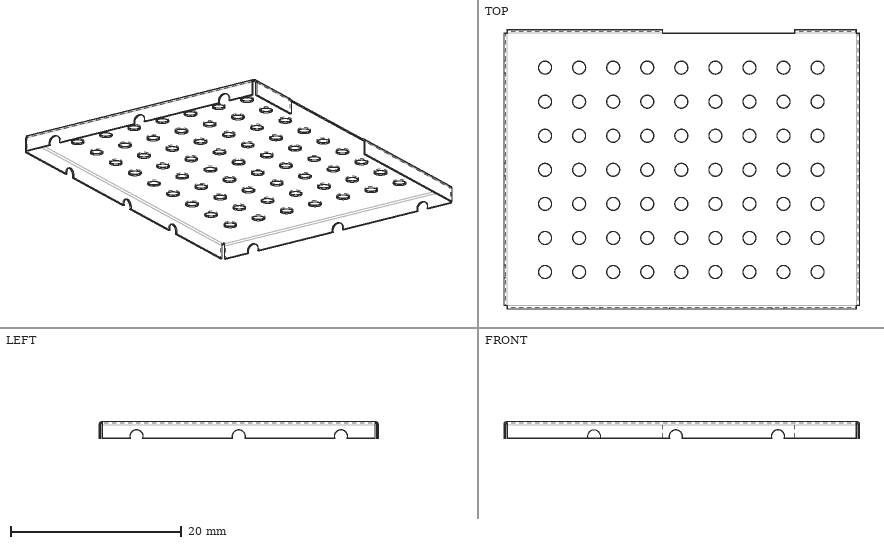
import cadquery as cq

PANEL_X = 41.0
PANEL_Y = 32.0
HEIGHT = 2.0
SHEET = 0.2
BEND_INNER = 0.2
BEND_OUTER = BEND_INNER + SHEET

HOLE_DIAMETER = 1.5
HOLE_PITCH = 4.0
HOLES_X = 9
HOLES_Y = 7
GRID_CENTER_X = -0.05
GRID_CENTER_Y = -0.05

NOTCH_DIAMETER = 1.5
NOTCH_CENTER_Z = 0.25
SIDE_NOTCHES_Y = (-12.0, 0.0, 12.0)
FRONT_NOTCHES_X = (-10.3, -0.7, 11.3)

REAR_GAP_START = -2.25
REAR_GAP_END = 13.25


def make_panel():
    """Flat top panel with its grid of round holes."""
    panel = cq.Workplane("XY").box(PANEL_X, PANEL_Y, SHEET, centered=(True, True, False))
    panel = panel.translate((0, 0, HEIGHT - SHEET))
    holes = (
        cq.Workplane("XY")
        .center(GRID_CENTER_X, GRID_CENTER_Y)
        .rarray(HOLE_PITCH, HOLE_PITCH, HOLES_X, HOLES_Y)
        .circle(HOLE_DIAMETER / 2)
        .extrude(HEIGHT)
    )
    return panel.cut(holes)


def make_wall(edge_distance, start, end, notches=()):
    """Bent wall on the +X edge, running along Y from start to end."""
    bend_z = HEIGHT - BEND_OUTER
    wall = (
        cq.Workplane("XZ", origin=(edge_distance, start, 0))
        .moveTo(0, HEIGHT)
        .radiusArc((BEND_OUTER, bend_z), BEND_OUTER)
        .lineTo(BEND_OUTER, 0)
        .lineTo(BEND_INNER, 0)
        .lineTo(BEND_INNER, bend_z)
        .radiusArc((0, HEIGHT - SHEET), -BEND_INNER)
        .close()
        .extrude(start - end)
    )
    for position in notches:
        notch = (
            cq.Workplane("YZ", origin=(edge_distance, 0, 0))
            .center(position, NOTCH_CENTER_Z)
            .circle(NOTCH_DIAMETER / 2)
            .extrude(BEND_OUTER)
        )
        wall = wall.cut(notch)
    return wall


def turn(wall, angle):
    """Turn a wall about the vertical axis through the panel centre."""
    return wall.rotate((0, 0, 0), (0, 0, 1), angle)


half_x = PANEL_X / 2
half_y = PANEL_Y / 2

right_wall = make_wall(half_x, -half_y, half_y, SIDE_NOTCHES_Y)
left_wall = right_wall.mirror("YZ")
front_wall = turn(make_wall(half_y, -half_x, half_x, FRONT_NOTCHES_X), -90)

rear_wall_left = turn(make_wall(half_y, -REAR_GAP_START, half_x), 90)
rear_wall_right = turn(make_wall(half_y, -half_x, -REAR_GAP_END), 90)

result = make_panel()
for wall in (right_wall, left_wall, front_wall, rear_wall_left, rear_wall_right):
    result = result.union(wall)